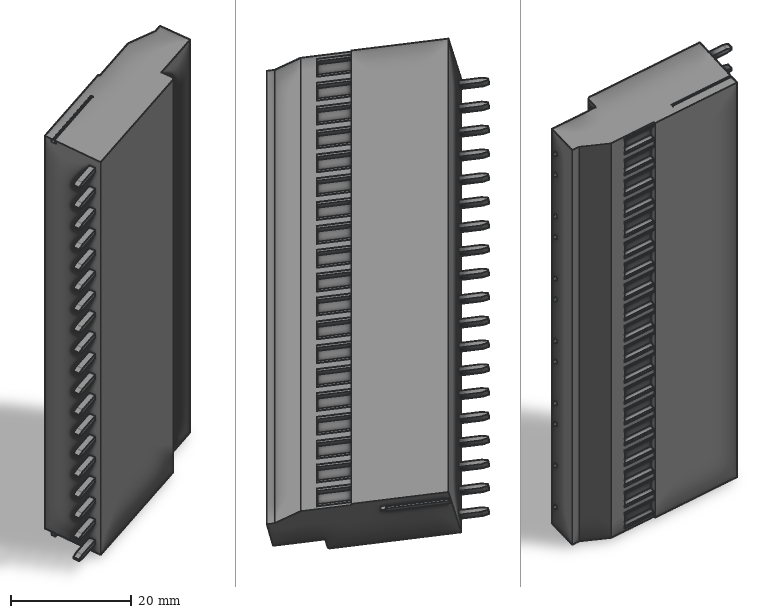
import cadquery as cq

POLES = 19
BODY_HEIGHT = 96.3
PITCH = BODY_HEIGHT / POLES
BODY_DEPTH = 11.1
BODY_LENGTH = 31.5
BACK_DROP = 0.1

FACE_STEP = 0.3
STEP_Y = 16.5
SLOPE_START_Y = 25.2
SLOPE_END_X = 2.6
SLOPE_END_Y = 30.0
NECK_X = 8.5
SHOULDER_Y = 22.6
SHOULDER_CHAMFER = 0.3

PIN_X = 9.4
PIN_DEPTH = 1.2
PIN_HEIGHT = 1.0
PIN_LENGTH = 5.0
TIP_LENGTH = 1.1
TIP_HEIGHT = 0.4

RECESS_END_Y = 22.4
FRAME_HEIGHT = 3.8
FRAME_DEPTH = 0.1
WINDOW_HEIGHT = 2.8
WINDOW_DEPTH = 1.0

NUB_JOINTS = (1, 2, 4, 5, 7, 8, 10, 11, 13, 14, 16, 18)
NUB_X = 7.4
NUB_RADIUS = 0.5
NUB_BASE_Y = BODY_LENGTH - BACK_DROP
NUB_RISE = 0.6
NUB_TIP_Y = BODY_LENGTH + NUB_RISE
NUB_TIP_RADIUS = 0.1

RIB_X = 1.7
RIB_LENGTH = 11.85
RIB_HEIGHT = 0.8
RIB_NECK_WIDTH = 0.3
RIB_WIDTH = 1.0
RIB_BASE_WIDTH = 0.7
RIB_LIP = 0.3
RIB_STOP_LENGTH = 1.0
GROOVE_DEPTH = 0.7


def pole_z(index):
    return (index + 0.5) * PITCH


def block(x_start, x_end, y_start, y_end, z_start, z_end):
    size = (x_end - x_start, y_end - y_start, z_end - z_start)
    return cq.Workplane("XY").box(*size, centered=False).translate((x_start, y_start, z_start))


def make_body():
    return (
        cq.Workplane("XY")
        .moveTo(0, 0)
        .lineTo(0, STEP_Y)
        .lineTo(FACE_STEP, STEP_Y)
        .lineTo(FACE_STEP, SLOPE_START_Y)
        .lineTo(SLOPE_END_X, SLOPE_END_Y)
        .lineTo(SLOPE_END_X, BODY_LENGTH - BACK_DROP)
        .lineTo(NECK_X, BODY_LENGTH)
        .lineTo(NECK_X, SHOULDER_Y)
        .lineTo(BODY_DEPTH - SHOULDER_CHAMFER, SHOULDER_Y)
        .lineTo(BODY_DEPTH, SHOULDER_Y - SHOULDER_CHAMFER)
        .lineTo(BODY_DEPTH, 0)
        .close()
        .extrude(BODY_HEIGHT)
    )


def make_recess(z):
    def pocket(height, depth):
        return block(0, FACE_STEP + depth, STEP_Y, RECESS_END_Y, z - height / 2, z + height / 2)

    return pocket(FRAME_HEIGHT, FRAME_DEPTH).union(pocket(WINDOW_HEIGHT, WINDOW_DEPTH))


def make_pin(z):
    shank_length = PIN_LENGTH - TIP_LENGTH
    shank = (
        cq.Workplane("XZ", origin=(PIN_X, 0, z))
        .rect(PIN_DEPTH, PIN_HEIGHT)
        .extrude(shank_length)
    )
    tip = (
        cq.Workplane("XZ", origin=(PIN_X, -shank_length, z))
        .rect(PIN_DEPTH, PIN_HEIGHT)
        .workplane(offset=TIP_LENGTH)
        .rect(PIN_DEPTH, TIP_HEIGHT)
        .loft()
    )
    return shank.union(tip)


def make_nub(z):
    base_center = cq.Vector(NUB_X, NUB_BASE_Y, z)
    length = NUB_TIP_Y - NUB_BASE_Y
    cone = cq.Solid.makeCone(NUB_RADIUS, NUB_TIP_RADIUS, length, base_center, cq.Vector(0, 1, 0))
    return cq.Workplane(cone)


def make_dovetail(z_neck, height, length, base_width):
    """Dovetail prism from the pin side along +Y, widening downward from z_neck to a short lip."""
    half_neck = RIB_NECK_WIDTH / 2
    half_width = RIB_WIDTH / 2
    half_base = base_width / 2
    return (
        cq.Workplane("XZ", origin=(RIB_X, 0, z_neck))
        .moveTo(-half_neck, 0)
        .lineTo(-half_width, RIB_LIP - height)
        .lineTo(-half_base, -height)
        .lineTo(half_base, -height)
        .lineTo(half_width, RIB_LIP - height)
        .lineTo(half_neck, 0)
        .close()
        .extrude(-length)
    )


def make_rib():
    half_neck = RIB_NECK_WIDTH / 2
    stop_start = RIB_LENGTH - RIB_STOP_LENGTH
    dovetail = make_dovetail(0, RIB_HEIGHT, stop_start, RIB_BASE_WIDTH)
    stop = block(RIB_X - half_neck, RIB_X + half_neck, stop_start, RIB_LENGTH, -RIB_HEIGHT, 0)
    return dovetail.union(stop)


result = make_body()
result = result.cut(make_dovetail(BODY_HEIGHT, GROOVE_DEPTH, RIB_LENGTH, RIB_WIDTH))
result = result.union(make_rib())

for pole in range(POLES):
    result = result.cut(make_recess(pole_z(pole)))
    result = result.union(make_pin(pole_z(pole)))

for joint in NUB_JOINTS:
    result = result.union(make_nub(BODY_HEIGHT - joint * PITCH))